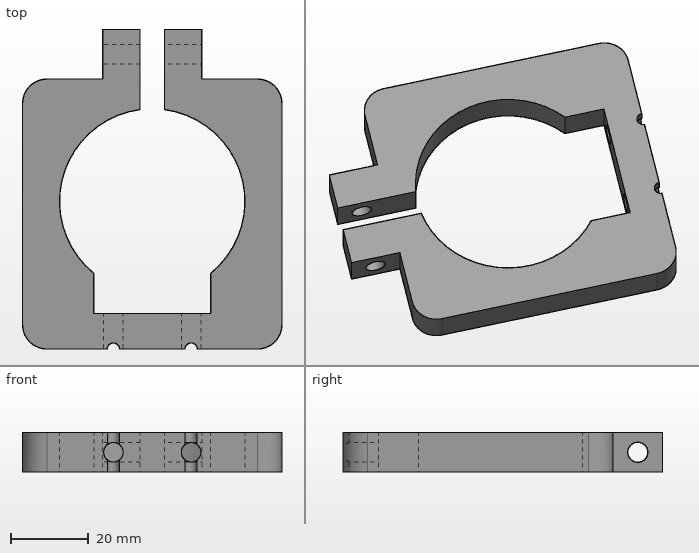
import cadquery as cq

plate_width = 66.8
total_length = 82.2
thickness = 10.2
corner_radius = 6.3

ear_length = 12.75
ears_width = 25.5
slit_width = 6.25
ear_hole_diameter = 5.1

bore_diameter = 47.6
bore_center_y = 38.0
pocket_width = 30.0
front_wall = 9.2

front_hole_spacing = 20.0
front_hole_diameter = 5.0
groove_diameter = 3.1

plate_length = total_length - ear_length
mid_height = thickness / 2
ear_hole_y = total_length - ear_length / 2


def block(width, y_start, y_end):
    """Full-thickness block centred on X, spanning y_start to y_end."""
    return cq.Workplane("XY").box(
        width, y_end - y_start, thickness, centered=(True, False, False)
    ).translate((0, y_start, 0))


def vertical_cylinder(diameter, x, y):
    """Full-thickness cylinder along Z."""
    return cq.Workplane("XY").center(x, y).circle(diameter / 2).extrude(thickness)


def front_wall_hole(x):
    """Cylinder along Y from the front face to the pocket."""
    return (
        cq.Workplane("XZ")
        .center(x, mid_height)
        .circle(front_hole_diameter / 2)
        .extrude(-front_wall)
    )


plate = block(plate_width, 0, plate_length).edges("|Z").fillet(corner_radius)
result = plate.union(block(ears_width, bore_center_y, total_length))

result = result.cut(vertical_cylinder(bore_diameter, 0, bore_center_y))
result = result.cut(block(pocket_width, front_wall, bore_center_y))
result = result.cut(block(slit_width, bore_center_y, total_length))

ear_hole = (
    cq.Workplane("YZ")
    .center(ear_hole_y, mid_height)
    .circle(ear_hole_diameter / 2)
    .extrude(ears_width / 2, both=True)
)
result = result.cut(ear_hole)

for side in (-1, 1):
    hole_x = side * front_hole_spacing / 2
    result = result.cut(front_wall_hole(hole_x))
    result = result.cut(vertical_cylinder(groove_diameter, hole_x, 0))